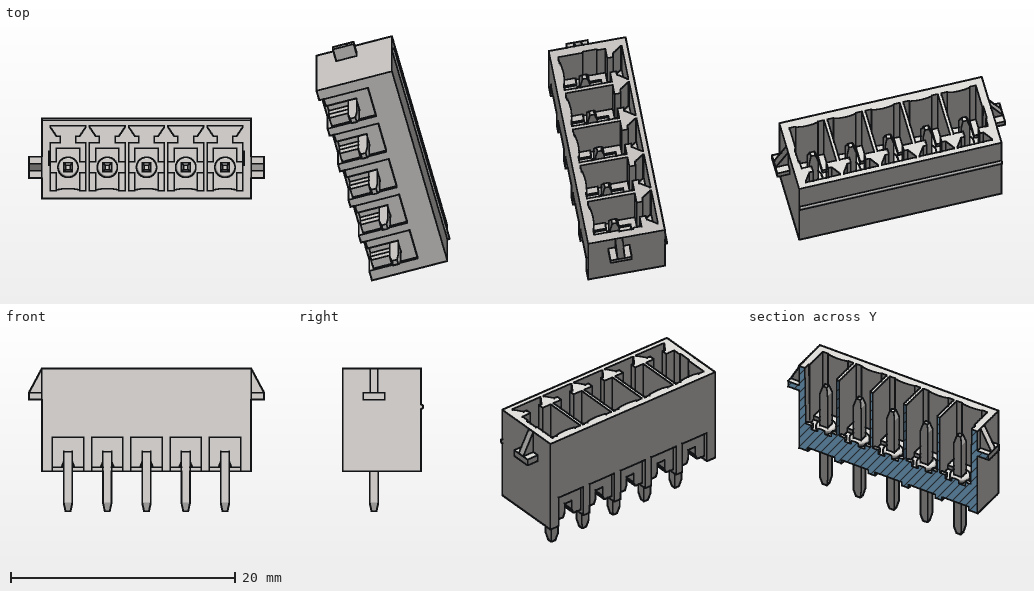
import cadquery as cq


POLES = 5
PIN_SPAN = 14.0
PITCH = PIN_SPAN / (POLES - 1)
HOUSING_LENGTH = 18.7
HOUSING_FRONT = -2.8
HOUSING_BACK = 4.2
HOUSING_HEIGHT = 9.2

FLOOR_Z = 3.05
CAVITY_HALF_WIDTH = 1.6
CAVITY_FRONT = -2.08
CAVITY_SHOULDER = 2.2
KEY_HALF_WIDTH = 0.7
KEY_INNER_END = 2.77
KEY_WING_HALF_WIDTH = 1.03
KEY_WING_END = 3.61
CAVITY_BACK = 3.7
BULGE_HALF_WIDTH = 1.03
BULGE_FOOT = -2.02
BULGE_CREST = -1.9

WELL_DEPTH = 0.42
WELL_BACK = 1.7
WELL_ARM_HALF_WIDTH = 0.5
WELL_Z = FLOOR_Z - WELL_DEPTH

COLLAR_DIAMETER = 1.8
COLLAR_HEIGHT = 0.42
COLLAR_FILLET = 0.19

RELIEF_DEPTH = 0.1
RELIEF_FRONT = 0.17
RELIEF_BACK = 1.43

NOTCH_WIDTH = 2.8
NOTCH_HEIGHT = 3.05
NOTCH_DEPTH = 0.4
UNDERSIDE_RECESS = 0.38

PIN_WIDTH = 0.8
PIN_TOP = 7.35
PIN_BOTTOM = -3.55
PIN_TAPER = 0.78
PIN_UPPER_TIP_WIDTH = 0.4
PIN_LOWER_TIP_WIDTH = 0.46

SLOT_TOP = 1.76
SLOT_MOUTH_WIDTH = 1.18
SLOT_FLARE_TOP = 0.85

TOTAL_LENGTH = 21.0
LATCH_TOP = 7.04
LATCH_HEIGHT = 0.63
LATCH_WIDTH = 1.93
LATCH_RIB_WIDTH = 0.65

RIDGE_RADIUS = 0.2
RIDGE_Z = 5.78

HALF_LENGTH = HOUSING_LENGTH / 2
PIN_PLACES = [pole * PITCH - PIN_SPAN / 2 for pole in range(POLES)]


def box(x_range, y_range, z_range):
    """Axis-parallel box between the given limits."""
    size = [limits[1] - limits[0] for limits in (x_range, y_range, z_range)]
    corner = (x_range[0], y_range[0], z_range[0])
    return cq.Workplane("XY").box(*size, centered=False).translate(corner)


def with_front_bulge(left_points, base_z, top_z):
    """Prism symmetric about X = 0 whose front wall bulges inward.

    The points run along the left side, from the bulge to the back.
    """
    right_points = [(-x, y) for x, y in left_points]
    bulge_end = (BULGE_HALF_WIDTH, BULGE_FOOT)
    outline = (
        cq.Workplane("XY", origin=(0, 0, base_z))
        .moveTo(-BULGE_HALF_WIDTH, BULGE_FOOT)
        .threePointArc((0, BULGE_CREST), bulge_end)
    )
    for point in right_points + left_points[::-1]:
        outline = outline.lineTo(*point)
    return outline.close().extrude(top_z - base_z)


def plug_cavity():
    """Cavity for one plug, with a dovetail key slot at its back."""
    left_points = [
        (-BULGE_HALF_WIDTH, CAVITY_FRONT),
        (-CAVITY_HALF_WIDTH, CAVITY_FRONT),
        (-CAVITY_HALF_WIDTH, CAVITY_SHOULDER),
        (-KEY_HALF_WIDTH, CAVITY_SHOULDER),
        (-KEY_HALF_WIDTH, KEY_INNER_END),
        (-KEY_WING_HALF_WIDTH, KEY_INNER_END),
        (-CAVITY_HALF_WIDTH, KEY_WING_END),
        (-CAVITY_HALF_WIDTH, CAVITY_BACK),
    ]
    return with_front_bulge(left_points, FLOOR_Z, HOUSING_HEIGHT)


def floor_well():
    """Cross-shaped well around one pin."""
    left_points = [(-BULGE_HALF_WIDTH, WELL_BACK)]
    channel = with_front_bulge(left_points, WELL_Z, FLOOR_Z)
    arms = box(
        (-CAVITY_HALF_WIDTH, CAVITY_HALF_WIDTH),
        (-WELL_ARM_HALF_WIDTH, WELL_ARM_HALF_WIDTH),
        (WELL_Z, FLOOR_Z),
    )
    return channel.union(arms)


def pin_collar():
    """Collar with a rounded rim that stands in the floor well."""
    return (
        cq.Workplane("XY", origin=(0, 0, WELL_Z))
        .circle(COLLAR_DIAMETER / 2)
        .extrude(COLLAR_HEIGHT)
        .faces(">Z")
        .edges()
        .fillet(COLLAR_FILLET)
    )


def front_notch():
    """Notch in the front wall, with a shallow recess under the floor behind it."""
    x_range = (-NOTCH_WIDTH / 2, NOTCH_WIDTH / 2)
    notch = box(x_range, (HOUSING_FRONT, HOUSING_FRONT + NOTCH_DEPTH), (0, NOTCH_HEIGHT))
    recess = box(x_range, (HOUSING_FRONT, WELL_BACK), (0, UNDERSIDE_RECESS))
    return notch.union(recess)


def pin_slot():
    """Slot with a flared mouth below, from the front notch to the back of the pin."""
    half_width = PIN_WIDTH / 2
    half_mouth = SLOT_MOUTH_WIDTH / 2
    outline = [
        (half_mouth, UNDERSIDE_RECESS),
        (half_width, SLOT_FLARE_TOP),
        (half_width, SLOT_TOP),
        (-half_width, SLOT_TOP),
        (-half_width, SLOT_FLARE_TOP),
        (-half_mouth, UNDERSIDE_RECESS),
    ]
    return (
        cq.Workplane("XZ", origin=(0, HOUSING_FRONT, 0))
        .polyline(outline)
        .close()
        .extrude(HOUSING_FRONT - half_width)
    )


def pin_taper(base_z, tip_z, tip_width):
    """Square taper from the full pin width to the tip."""
    return (
        cq.Workplane("XY", origin=(0, 0, base_z))
        .rect(PIN_WIDTH, PIN_WIDTH)
        .workplane(offset=tip_z - base_z)
        .rect(tip_width, tip_width)
        .loft(ruled=True)
    )


def contact_pin():
    """Square pin, tapered at both ends."""
    shaft_bottom = PIN_BOTTOM + PIN_TAPER
    shaft_top = PIN_TOP - PIN_TAPER
    half_width = PIN_WIDTH / 2
    shaft = box((-half_width, half_width), (-half_width, half_width), (shaft_bottom, shaft_top))
    upper_tip = pin_taper(shaft_top, PIN_TOP, PIN_UPPER_TIP_WIDTH)
    lower_tip = pin_taper(shaft_bottom, PIN_BOTTOM, PIN_LOWER_TIP_WIDTH)
    return shaft.union(upper_tip).union(lower_tip)


def right_latch():
    """Latch bar on the +X end wall, with a sloping rib above it."""
    reach = TOTAL_LENGTH / 2
    bar = box(
        (HALF_LENGTH, reach),
        (-LATCH_WIDTH / 2, LATCH_WIDTH / 2),
        (LATCH_TOP - LATCH_HEIGHT, LATCH_TOP),
    )
    rib_corners = [
        (HALF_LENGTH, LATCH_TOP),
        (reach, LATCH_TOP),
        (HALF_LENGTH, HOUSING_HEIGHT),
    ]
    rib = cq.Workplane("XZ").polyline(rib_corners).close().extrude(LATCH_RIB_WIDTH / 2, both=True)
    return bar.union(rib)


def right_relief():
    """Wedge-shaped relief in the outer wall of the last cavity on the +X side."""
    wall_x = PIN_PLACES[-1] + CAVITY_HALF_WIDTH
    wedge_corners = [
        (wall_x, FLOOR_Z),
        (wall_x + RELIEF_DEPTH, HOUSING_HEIGHT),
        (wall_x, HOUSING_HEIGHT),
    ]
    return (
        cq.Workplane("XZ", origin=(0, RELIEF_FRONT, 0))
        .polyline(wedge_corners)
        .close()
        .extrude(RELIEF_FRONT - RELIEF_BACK)
    )


def back_ridge():
    """Half-round ridge along the back wall; its inner half lies within the wall."""
    return (
        cq.Workplane("YZ", origin=(-HALF_LENGTH, HOUSING_BACK, RIDGE_Z))
        .circle(RIDGE_RADIUS)
        .extrude(HOUSING_LENGTH)
    )


def build_housing(pin):
    """Housing with its cavities, latches and holes that fit the pins."""
    body = box((-HALF_LENGTH, HALF_LENGTH), (HOUSING_FRONT, HOUSING_BACK), (0, HOUSING_HEIGHT))
    latch = right_latch()
    body = body.union(back_ridge()).union(latch).union(latch.mirror("YZ"))

    relief = right_relief()
    body = body.cut(relief).cut(relief.mirror("YZ"))
    pole_cut = plug_cavity().union(floor_well()).cut(pin_collar())
    pole_cut = pole_cut.union(front_notch()).union(pin_slot()).union(pin)
    for x in PIN_PLACES:
        body = body.cut(pole_cut.translate((x, 0, 0)))
    return body


contact = contact_pin()
housing = build_housing(contact).solids()
pins = [contact.translate((x, 0, 0)) for x in PIN_PLACES]

result = cq.Compound.makeCompound([housing.val(), *[pin.val() for pin in pins]])